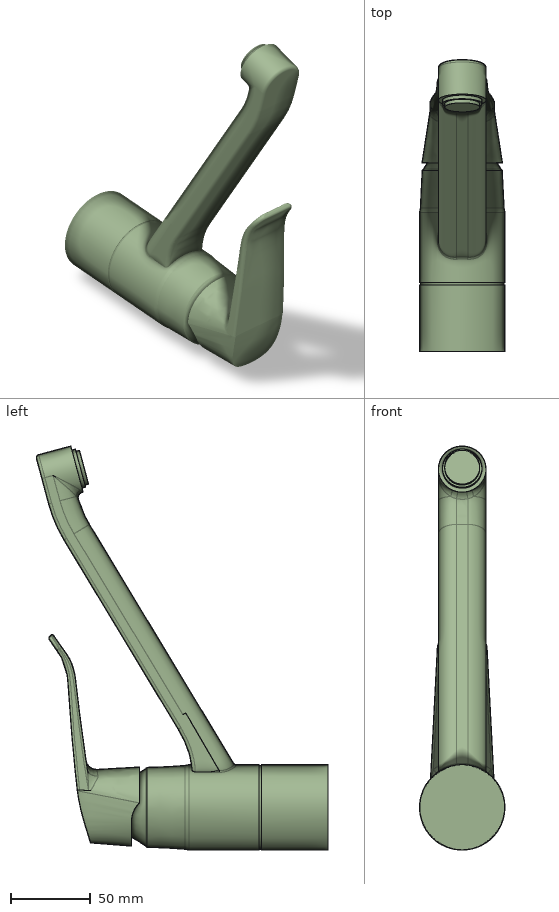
import cadquery as cq
import math


BODY_R = 26.865
GROOVE_Y = 41.9
GROOVE_WIDTH = 1.5
GROOVE_DEPTH = 0.5
SHOULDER_Y = 87.5
SHOULDER_LENGTH = 2.6
SHOULDER_DROP = 0.5
BODY_LENGTH = 114.6
BODY_END_R = 25.2
BODY_END_CHAMFER = 0.8
NECK_LENGTH = 11.0
NECK_END_R = 17.5

TUBE_WIDTH = 30.0
TUBE_DEPTH = 18.8
TUBE_FRONT_R = 11.4
TUBE_BACK_R = 2.0
TUBE_LEAN = 31.1
BEND_FRONT_R = 69.0
NECK_STRAIGHT = 16.5
TUBE_LENGTH = 196.0

FLARE_TOP_Z = 54.5
FLARE_FOOT_Y = 85.5
FLARE_FOOT_Z = 20.0
FOOT_FILLET = 1.5

HEAD_R = TUBE_WIDTH / 2
HEAD_LENGTH = 22.9
HEAD_TILT = 15.0
HEAD_TOP_Y = 161.8
HEAD_TOP_Z = 227.1
HEAD_BACK_FILLET = 2.0
THROAT_FILLET = 3.5
COLLAR_R = 12.4
COLLAR_LENGTH = 2.3
AERATOR_R = 11.0
AERATOR_LENGTH = 4.6

HUB_START_Y = 118.6
HUB_END_Y = 160.6
HUB_START_HALF_WIDTH = 25.3
HUB_END_HALF_WIDTH = 18.8
HUB_START_TOP = 25.4
HUB_END_TOP = 23.0
HUB_START_BOTTOM = -24.8
HUB_END_BOTTOM = -21.5
HUB_END_FULLNESS = 0.3
CREASE_START_Z = 2.8
CREASE_END_Z = 11.0
HUB_UNDERCUT_MID = (121.9, -1.7)
HUB_UNDERCUT_END = (123.6, -7.3)
HUB_HEEL = (149.4, -22.4)
HEEL_DIR = (0.3, 1)

LEVER_ROOT_FRONT = (149.1, 10.5)
LEVER_ROOT_BACK = (157.8, 11.0)
LEVER_ROOT_DIR = (0.12, 1)
LEVER_TIP_BACK = (176.1, 106.5)
LEVER_TIP_FRONT = (173.3, 109.2)
LEVER_TIP_DIR = (0.75, 1)
LEVER_BACK_CURVE = [(161.8, 53.5), (163.0, 72.4), (167.6, 94.0)]
LEVER_FRONT_CURVE = [(167.6, 100.8), (162.2, 92.7), (157.8, 72.4), (153.6, 40.0)]
LEVER_HALF_WIDTH_AT_AXIS = 20.9
LEVER_TIP_HALF_WIDTH = 15.2
LEVER_CORNER_R = 10.0
LEVER_EDGE_R = 1.5
LEVER_BLEND_R = 6.5

SEARCH_MARGIN = 1.0


def tilted(angle):
    """Unit (Y, Z) vectors of a tube leaning back by angle: along the tube, and toward its front."""
    sine = math.sin(math.radians(angle))
    cosine = math.cos(math.radians(angle))
    return (sine, cosine), (-cosine, sine)


def shifted(point, direction, distance):
    """A (Y, Z) point moved by distance along a direction."""
    return (point[0] + direction[0] * distance, point[1] + direction[1] * distance)


def edges_within(part, y_range, z_range):
    """Edges lying inside a Y range whose highest point lies inside a Z range."""
    chosen = []
    for edge in part.edges().vals():
        box = edge.BoundingBox()
        inside_y = y_range[0] < box.ymin and box.ymax < y_range[1]
        if inside_y and z_range[0] < box.zmax < z_range[1]:
            chosen.append(edge)
    return part.newObject(chosen)


def make_body():
    """Turned body, its end tapering into the neck that carries the handle."""
    groove_end = GROOVE_Y + GROOVE_WIDTH
    groove_r = BODY_R - GROOVE_DEPTH
    profile = [
        (0, 0),
        (BODY_R, 0),
        (BODY_R, GROOVE_Y),
        (groove_r, GROOVE_Y),
        (groove_r, groove_end),
        (BODY_R, groove_end),
        (BODY_R, SHOULDER_Y),
        (BODY_R - SHOULDER_DROP, SHOULDER_Y + SHOULDER_LENGTH),
        (BODY_END_R, BODY_LENGTH - BODY_END_CHAMFER),
        (BODY_END_R - BODY_END_CHAMFER, BODY_LENGTH),
        (NECK_END_R, BODY_LENGTH + NECK_LENGTH),
        (0, BODY_LENGTH + NECK_LENGTH),
    ]
    return cq.Workplane("XY").polyline(profile).close().revolve(360, (0, 0, 0), (0, 1, 0))


def make_head(outlet_dir, face_centre):
    """Barrel along the outlet axis, with the stepped aerator on its face."""
    def disc(start, length, radius):
        centre = shifted(face_centre, outlet_dir, start)
        plane = cq.Plane(origin=(0, *centre), xDir=(1, 0, 0), normal=(0, *outlet_dir))
        return cq.Workplane(plane).circle(radius).extrude(length)

    barrel = disc(-HEAD_LENGTH, HEAD_LENGTH, HEAD_R).faces(">Y").edges().fillet(HEAD_BACK_FILLET)
    collar = disc(0, COLLAR_LENGTH, COLLAR_R)
    aerator = disc(0, AERATOR_LENGTH, AERATOR_R)
    return barrel.union(collar).union(aerator)


def make_tube(head_back):
    """Tube swept along its flat back up to the head axis, and the (Y, Z) foot of that back."""
    neck_dir, neck_front = tilted(HEAD_TILT)
    tube_dir, tube_front = tilted(TUBE_LEAN)
    _, mid_front = tilted((HEAD_TILT + TUBE_LEAN) / 2)
    bend_r = BEND_FRONT_R + TUBE_DEPTH

    bend_end = shifted(head_back, neck_dir, -NECK_STRAIGHT)
    bend_centre = shifted(bend_end, neck_front, bend_r)
    bend_mid = shifted(bend_centre, mid_front, -bend_r)
    bend_start = shifted(bend_centre, tube_front, -bend_r)
    foot = shifted(bend_start, tube_dir, -TUBE_LENGTH)

    path = (
        cq.Workplane("YZ")
        .moveTo(*foot)
        .lineTo(*bend_start)
        .threePointArc(bend_mid, bend_end)
        .lineTo(*head_back)
    )
    section = cq.Workplane(cq.Plane(origin=(0, *foot), xDir=(1, 0, 0), normal=(0, *tube_dir)))
    half = TUBE_WIDTH / 2
    front_flat = half - TUBE_FRONT_R
    back_flat = half - TUBE_BACK_R
    tube = (
        section
        .moveTo(-back_flat, 0)
        .lineTo(back_flat, 0)
        .radiusArc((half, -TUBE_BACK_R), TUBE_BACK_R)
        .lineTo(half, TUBE_FRONT_R - TUBE_DEPTH)
        .radiusArc((front_flat, -TUBE_DEPTH), TUBE_FRONT_R)
        .lineTo(-front_flat, -TUBE_DEPTH)
        .radiusArc((-half, TUBE_FRONT_R - TUBE_DEPTH), TUBE_FRONT_R)
        .lineTo(-half, -TUBE_BACK_R)
        .radiusArc((-back_flat, 0), TUBE_BACK_R)
        .close()
        .sweep(path)
    )
    return tube, foot


def make_flare(foot):
    """Web that turns the back of the tube upright where it lands on the body."""
    tube_dir, tube_front = tilted(TUBE_LEAN)
    top = shifted(foot, tube_dir, (FLARE_TOP_Z - foot[1]) / tube_dir[1])
    inner_top = shifted(top, tube_front, TUBE_DEPTH / 2)
    downward = (-tube_dir[0], -tube_dir[1])
    flare = (
        cq.Workplane("YZ", origin=(-TUBE_WIDTH / 2, 0, 0))
        .moveTo(*top)
        .spline([(FLARE_FOOT_Y, FLARE_FOOT_Z)], tangents=[downward, (0, -1)], includeCurrent=True)
        .lineTo(FLARE_FOOT_Y - TUBE_DEPTH, FLARE_FOOT_Z)
        .lineTo(*inner_top)
        .close()
        .extrude(TUBE_WIDTH)
    )
    back = edges_within(
        flare,
        (FLARE_FOOT_Y - SEARCH_MARGIN, top[0] + SEARCH_MARGIN),
        (FLARE_TOP_Z - SEARCH_MARGIN, FLARE_TOP_Z + SEARCH_MARGIN),
    )
    return back.edges("not |X").fillet(TUBE_BACK_R)


def make_spout():
    head_up, outlet_dir = tilted(HEAD_TILT)
    face_centre = shifted((HEAD_TOP_Y, HEAD_TOP_Z), head_up, -HEAD_R)
    head_back = shifted(face_centre, outlet_dir, -HEAD_LENGTH)
    head = make_head(outlet_dir, face_centre)
    tube, foot = make_tube(head_back)
    flare = make_flare(foot)
    spout = tube.union(flare).union(head)

    barrel_bottom = shifted(face_centre, head_up, -HEAD_R)
    throat_point = shifted(barrel_bottom, outlet_dir, TUBE_DEPTH - HEAD_LENGTH)
    throat = cq.selectors.NearestToPointSelector((0, *throat_point))
    return spout.edges("%CIRCLE").edges(throat).fillet(THROAT_FILLET)


def half_section(y, crease_z, half_width, height, fullness=0.0):
    """Closed half ellipse standing on the crease at y, swollen toward a box by fullness.

    A negative height points down.
    """
    plane = cq.Plane(origin=(0, y, crease_z), xDir=(1, 0, 0), normal=(0, -1, 0))

    def point(t):
        cosine = math.cos(math.pi * t)
        sine = math.sin(math.pi * t)
        return (
            half_width * cosine * (1 + fullness * sine**2),
            height * sine * (1 + fullness * cosine**2),
        )

    return cq.Workplane(plane).parametricCurve(point, makeWire=False).close().val()


def make_half_hub(start_z, end_z, end_fullness=0.0):
    """Tapered half of the hub, reaching from the crease to start_z at the body and end_z at the lever."""
    start = half_section(HUB_START_Y, CREASE_START_Z, HUB_START_HALF_WIDTH, start_z - CREASE_START_Z)
    end = half_section(HUB_END_Y, CREASE_END_Z, HUB_END_HALF_WIDTH, end_z - CREASE_END_Z, end_fullness)
    return cq.Workplane(cq.Solid.makeLoft([start, end], True))


def make_hub():
    """Tapered hub, trimmed to its side outline and ending inside the lever."""
    lever_core_y = (LEVER_ROOT_FRONT[0] + LEVER_ROOT_BACK[0]) / 2
    upper = make_half_hub(HUB_START_TOP, HUB_END_TOP)
    lower = make_half_hub(HUB_START_BOTTOM, HUB_END_BOTTOM, HUB_END_FULLNESS)
    cone = upper.union(lower)
    side = (
        cq.Workplane("YZ", origin=(-BODY_R, 0, 0))
        .moveTo(HUB_START_Y, BODY_R)
        .lineTo(HUB_START_Y, CREASE_START_Z)
        .threePointArc(HUB_UNDERCUT_MID, HUB_UNDERCUT_END)
        .lineTo(HUB_UNDERCUT_END[0], -BODY_R)
        .lineTo(HUB_HEEL[0], -BODY_R)
        .lineTo(*HUB_HEEL)
        .spline([LEVER_ROOT_BACK], tangents=[HEEL_DIR, LEVER_ROOT_DIR], includeCurrent=True)
        .lineTo(lever_core_y, LEVER_ROOT_BACK[1])
        .lineTo(lever_core_y, BODY_R)
        .close()
        .extrude(2 * BODY_R)
    )
    return cone.intersect(side)


def make_lever():
    back_curve = [*LEVER_BACK_CURVE, LEVER_TIP_BACK]
    front_curve = [*LEVER_FRONT_CURVE, LEVER_ROOT_FRONT]
    side = (
        cq.Workplane("YZ", origin=(-BODY_R, 0, 0))
        .moveTo(*LEVER_ROOT_FRONT)
        .lineTo(*LEVER_ROOT_BACK)
        .spline(back_curve, tangents=[LEVER_ROOT_DIR, LEVER_TIP_DIR], includeCurrent=True)
        .lineTo(*LEVER_TIP_FRONT)
        .spline(front_curve, includeCurrent=True)
        .close()
        .extrude(2 * BODY_R)
    )
    width = (
        cq.Workplane("XZ")
        .moveTo(-LEVER_HALF_WIDTH_AT_AXIS, 0)
        .lineTo(LEVER_HALF_WIDTH_AT_AXIS, 0)
        .lineTo(LEVER_TIP_HALF_WIDTH, LEVER_TIP_FRONT[1])
        .lineTo(-LEVER_TIP_HALF_WIDTH, LEVER_TIP_FRONT[1])
        .close()
        .extrude(-2 * HUB_END_Y)
        .edges("|Y and >Z")
        .fillet(LEVER_CORNER_R)
    )
    root_top = max(LEVER_ROOT_FRONT[1], LEVER_ROOT_BACK[1]) + SEARCH_MARGIN
    lever = side.intersect(width)
    rim = [edge for edge in lever.edges().vals() if edge.BoundingBox().zmax > root_top]
    return lever.newObject(rim).fillet(LEVER_EDGE_R)


def make_handle():
    handle = make_hub().union(make_lever())
    corner = edges_within(
        handle,
        (LEVER_ROOT_FRONT[0] - SEARCH_MARGIN, LEVER_ROOT_FRONT[0] + LEVER_BLEND_R),
        (LEVER_ROOT_FRONT[1] + SEARCH_MARGIN, HUB_START_TOP),
    )
    return corner.fillet(LEVER_BLEND_R)


def make_body_with_spout():
    joined = make_body().union(make_spout())
    front_foot = edges_within(
        joined,
        (SHOULDER_Y / 2, FLARE_FOOT_Y - TUBE_DEPTH / 2),
        (BODY_R - SEARCH_MARGIN, BODY_R + SEARCH_MARGIN),
    )
    return front_foot.edges("not |Y").fillet(FOOT_FILLET)


result = make_body_with_spout().union(make_handle())